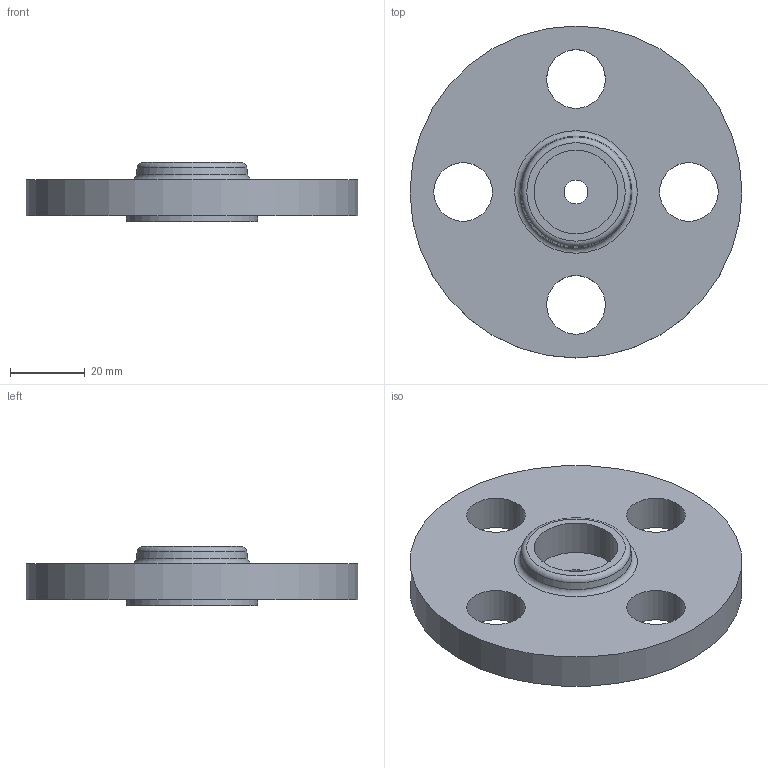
import cadquery as cq

flange_diameter = 88.9
flange_thickness = 9.6

raised_face_diameter = 35.1
raised_face_height = 1.6

hub_base_diameter = 30.2
hub_top_diameter = 29.0
total_height = 15.81
hub_fillet_radius = 1.5

socket_diameter = 22.4
socket_depth = 9.6
bore_diameter = 6.4

bolt_circle_diameter = 60.5
bolt_hole_diameter = 15.7
bolt_hole_count = 4

flange_bottom = raised_face_height
flange_top = flange_bottom + flange_thickness


def make_body():
    """Revolve the solid outline: raised face, disc and tapered hub."""
    outline = (
        cq.Workplane("XZ")
        .moveTo(0, 0)
        .lineTo(raised_face_diameter / 2, 0)
        .lineTo(raised_face_diameter / 2, flange_bottom)
        .lineTo(flange_diameter / 2, flange_bottom)
        .lineTo(flange_diameter / 2, flange_top)
        .lineTo(hub_base_diameter / 2, flange_top)
        .lineTo(hub_top_diameter / 2, total_height)
        .lineTo(0, total_height)
        .close()
    )
    return outline.revolve(360, (0, 0, 0), (0, 1, 0))


def round_hub(body):
    """Fillet the hub's foot and its top rim."""
    hub_edges = body.faces("%CONE").edges("%CIRCLE")
    return hub_edges.fillet(hub_fillet_radius)


def cut_centre_bore(body):
    """Cut the pipe socket from the hub top and the small bore right through."""
    top = cq.Workplane("XY").workplane(offset=total_height)
    socket = top.circle(socket_diameter / 2).extrude(-socket_depth)
    bore = top.circle(bore_diameter / 2).extrude(-total_height)
    return body.cut(socket).cut(bore)


def cut_bolt_holes(body):
    """Cut the evenly spaced bolt holes, the first one on the +X axis."""
    bolt_holes = (
        cq.Workplane("XY")
        .polarArray(bolt_circle_diameter / 2, 0, 360, bolt_hole_count)
        .circle(bolt_hole_diameter / 2)
        .extrude(total_height)
    )
    return body.cut(bolt_holes)


result = cut_bolt_holes(cut_centre_bore(round_hub(make_body())))